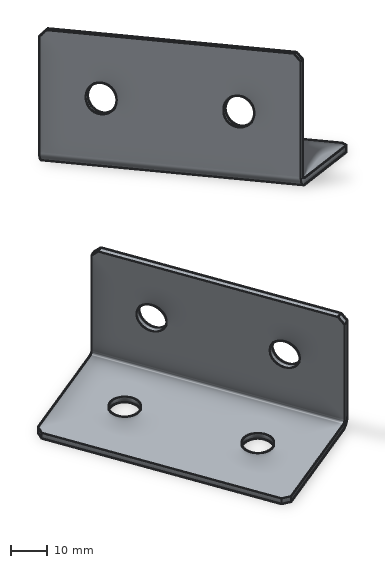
import cadquery as cq

length = 76.0
base_depth = 40.0
wall_height = 38.0

thickness = 2.0
inner_bend_radius = 1.0
outer_bend_radius = inner_bend_radius + thickness

corner_chamfer = 2.0
hole_diameter = 9.0
hole_spacing = 40.0
hole_distance = 20.0


def bent_sheet():
    """L-shaped sheet: base on Z = 0, wall outer face on Y = 0."""
    sheet = (
        cq.Workplane("YZ")
        .polyline([
            (0, 0),
            (base_depth, 0),
            (base_depth, thickness),
            (thickness, thickness),
            (thickness, wall_height),
            (0, wall_height),
        ])
        .close()
        .extrude(length / 2, both=True)
    )
    outer_edge = cq.selectors.NearestToPointSelector((0, 0, 0))
    inner_edge = cq.selectors.NearestToPointSelector((0, thickness, thickness))
    sheet = sheet.edges("|X").edges(inner_edge).fillet(inner_bend_radius)
    return sheet.edges("|X").edges(outer_edge).fillet(outer_bend_radius)


def chamfer_free_corners(sheet):
    """Cut the two corners at the free end of each flange."""
    sheet = sheet.faces(">Y").edges("|Z").chamfer(corner_chamfer)
    return sheet.faces(">Z").edges("|Y").chamfer(corner_chamfer)


def hole_pair(plane, direction):
    """Cutters for two holes through the flange lying on the given plane."""
    hole_centers = [(side * hole_spacing / 2, hole_distance) for side in (-1, 1)]
    return (
        cq.Workplane(plane)
        .pushPoints(hole_centers)
        .circle(hole_diameter / 2)
        .extrude(direction * thickness)
    )


base_holes = hole_pair("XY", 1)
wall_holes = hole_pair("XZ", -1)

result = chamfer_free_corners(bent_sheet()).cut(base_holes).cut(wall_holes)